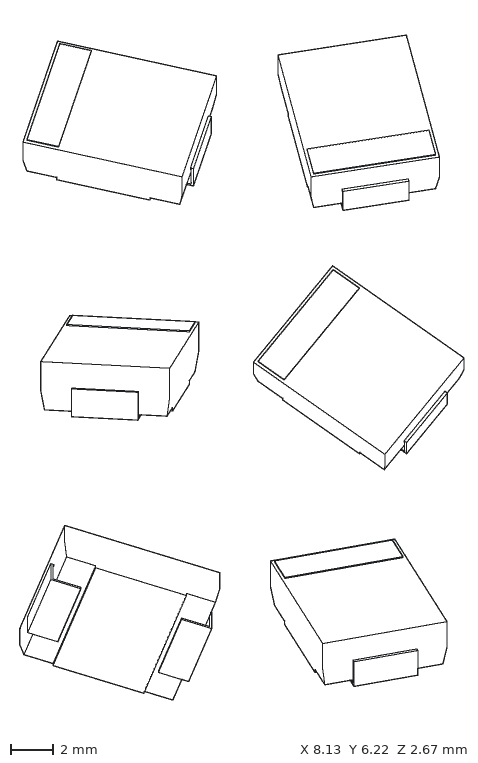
import cadquery as cq

overall_length = 8.13
overall_height = 2.67

housing_length = 7.83
housing_width = 6.22
housing_bottom = 0.18
waist_height = 1.17
mark_thickness = 0.06
housing_top = overall_height - mark_thickness
edge_inset = 0.155
standoff_length = 4.585

lead_thickness = 0.12
lead_width = 3.2
lead_height = 1.38
foot_length = 1.53

mark_length = 1.56

bottom_length = housing_length - 2 * edge_inset
bottom_width = housing_width - 2 * edge_inset


def make_housing():
    """Straight upper block over a tapered lower block, with a central standoff."""
    upper = (
        cq.Workplane("XY", origin=(0, 0, waist_height))
        .rect(housing_length, housing_width)
        .extrude(housing_top - waist_height)
    )
    lower = (
        cq.Workplane("XY", origin=(0, 0, housing_bottom))
        .rect(bottom_length, bottom_width)
        .workplane(offset=waist_height - housing_bottom)
        .rect(housing_length, housing_width)
        .loft(ruled=True)
    )
    standoff = cq.Workplane("XY").rect(standoff_length, bottom_width).extrude(housing_bottom)
    return upper.union(lower).union(standoff)


def make_lead(side):
    """Bent strip on one end (side = -1 or 1): foot, upright and a lip against the housing."""
    outer = overall_length / 2
    inner = outer - lead_thickness
    lip_end = housing_length / 2
    foot_end = outer - foot_length
    outline = [
        (foot_end, 0),
        (outer, 0),
        (outer, lead_height),
        (lip_end, lead_height),
        (lip_end, lead_height - lead_thickness),
        (inner, lead_height - lead_thickness),
        (inner, lead_thickness),
        (foot_end, lead_thickness),
    ]
    return (
        cq.Workplane("XZ")
        .polyline([(side * x, z) for x, z in outline])
        .close()
        .extrude(lead_width / 2, both=True)
    )


def make_polarity_mark():
    """Thin bar lying on the housing top near the -X end."""
    center_x = -housing_length / 2 + edge_inset + mark_length / 2
    return (
        cq.Workplane("XY", origin=(center_x, 0, housing_top))
        .rect(mark_length, bottom_width)
        .extrude(mark_thickness)
    )


housing = make_housing()
leads = [make_lead(side) for side in (-1, 1)]
polarity_mark = make_polarity_mark()

result = cq.Compound.makeCompound(
    [housing.val(), *[lead.val() for lead in leads], polarity_mark.val()]
)